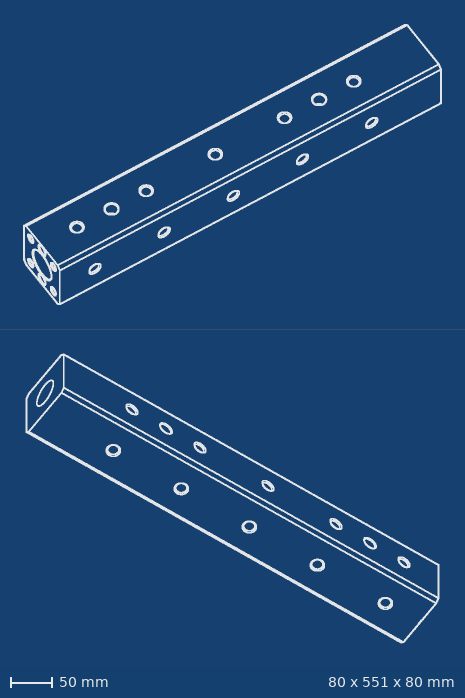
import math

import cadquery as cq

length = 551.0
width = 80.0
edge_chamfer = 5.0

half_length = length / 2
half_width = width / 2

mouth_chamfer = 1.0
side_hole_chamfer = 1.5

bore_diameter = 35.0
seat_diameter = 40.0
seat_depth = 30.0

side_hole_diameter = 14.0
side_dowel_diameter = 16.0

end_hole_diameter = 10.0
end_hole_depth = 30.0
drill_point_angle = 118
end_dowel_diameter = 14.0

dowel_depth = 20.0

first_side_hole_y = -225.0
side_span = 400.0
through_steps = (0, 1, 2, 3, 4)
dowel_steps = (0.5, 3.5)
side_pitch = side_span / through_steps[-1]

end_hole_spacing = 50.0
end_dowel_spacing = 60.0
end_hole_offset = end_hole_spacing / 2
end_dowel_offset = end_dowel_spacing / 2


def cylinder(start, direction, diameter, depth):
    """Straight cutter running from a start point into the bar."""
    return cq.Workplane(cq.Solid.makeCylinder(diameter / 2, depth, start, direction))


def cone(start, direction, start_diameter, end_diameter, depth):
    """Tapered cutter running from a start point into the bar."""
    return cq.Workplane(
        cq.Solid.makeCone(start_diameter / 2, end_diameter / 2, depth, start, direction)
    )


def chamfered_hole(body, mouth, direction, diameter, depth, chamfer=mouth_chamfer):
    """Cut a round hole with a flat bottom and a chamfered mouth."""
    mouth_diameter = diameter + 2 * chamfer
    body = body.cut(cylinder(mouth, direction, diameter, depth))
    return body.cut(cone(mouth, direction, mouth_diameter, diameter, chamfer))


result = cq.Workplane("XY").box(width, length, width).edges("|Y").chamfer(edge_chamfer)

inward = cq.Vector(0, 1, 0)
front_center = inward * -half_length
result = result.cut(cylinder(front_center, inward, bore_diameter, length))
result = chamfered_hole(result, front_center, inward, seat_diameter, seat_depth)

for outward in (cq.Vector(0, 0, 1), cq.Vector(-1, 0, 0)):
    for step in through_steps:
        hole_center = cq.Vector(0, first_side_hole_y + step * side_pitch, 0)
        for direction in (outward, -outward):
            mouth = hole_center - direction * half_width
            result = chamfered_hole(
                result, mouth, direction, side_hole_diameter, half_width, side_hole_chamfer
            )

    for step in dowel_steps:
        mouth = cq.Vector(0, first_side_hole_y + step * side_pitch, 0) + outward * half_width
        result = chamfered_hole(result, mouth, -outward, side_dowel_diameter, dowel_depth)

point_length = end_hole_diameter / 2 / math.tan(math.radians(drill_point_angle / 2))
for side_x in (-1, 1):
    for side_z in (-1, 1):
        mouth = front_center + cq.Vector(side_x * end_hole_offset, 0, side_z * end_hole_offset)
        bottom = mouth + inward * end_hole_depth
        result = chamfered_hole(result, mouth, inward, end_hole_diameter, end_hole_depth)
        result = result.cut(cone(bottom, inward, end_hole_diameter, 0, point_length))

for side_z in (-1, 1):
    mouth = front_center + cq.Vector(0, 0, side_z * end_dowel_offset)
    result = chamfered_hole(result, mouth, inward, end_dowel_diameter, dowel_depth)